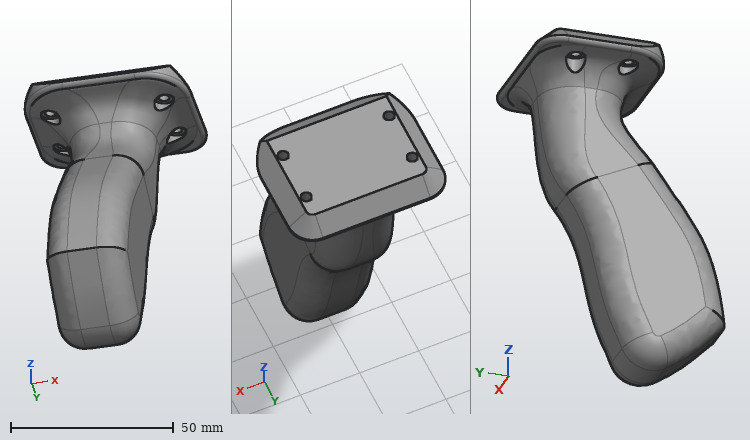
import cadquery as cq
import math

PLATE_X = 52.2
PLATE_Y = 43.0
BEVEL_INSET = 5.9
BEVEL_DROP = 5.1
RIM_HEIGHT = 1.7
BACK_CORNER = 8.0
FRONT_CORNER = 14.7
RIM_ROUND = 1.5
PLATE_BOTTOM = -(BEVEL_DROP + RIM_HEIGHT)

HOLE_SPACING_X = 35.8
HOLE_SPACING_Y = 17.1
HOLE_DIAMETER = 3.4
HEAD_DIAMETER = 6.0

GRIP_WIDTH = 25.1
GRIP_ROUND = 8.0
NECK_TOP = -15.4
NECK_TOP_WIDTH = 27.0
NECK_TOP_BACK = 15.7
NECK_TOP_FRONT = -11.3
NECK_ROUND = 11.5
JOINT_BACK = (7.1, -48.7)
JOINT_FRONT = (-20.8, -35.4)
HEEL = (-43.8, -87.0)

FRONT_CURVE = [(-31.3, -49.9), (-37.6, -60.6), (-41.4, -72.0)]
BACK_CURVE = [(-6.4, -88.0), (-2.2, -72.0), (2.2, -57.1)]
BOTTOM_CURVE = [(-34.4, -96.4)]

TOE_CENTRE = (-19.9, -95.1)
TOE_RADIUS = 9.6
TOE_FRONT_ANGLE = -122
TOE_BACK_ANGLE = -22

HEEL_DIRECTION = (0.7, -0.7)
JOINT_DIRECTION = (0.6, 0.8)


def rounded_section(back, front, width, corner):
    """Rounded rectangle across X, spanning the (Y, Z) points back to front."""
    dy = back[0] - front[0]
    dz = back[1] - front[1]
    middle = (0, (back[0] + front[0]) / 2, (back[1] + front[1]) / 2)
    plane = cq.Plane(origin=middle, xDir=(1, 0, 0), normal=(0, -dz, dy))
    sharp = cq.Face.makePlane(math.hypot(dy, dz), width)
    rounded = sharp.fillet2D(corner, sharp.Vertices())
    return rounded.outerWire().moved(plane.location)


def loft_sections(sections):
    wires = [rounded_section(*section) for section in sections]
    return cq.Workplane(cq.Solid.makeLoft(wires))


def make_plate():
    bevelled = (
        cq.Workplane().workplane(offset=PLATE_BOTTOM)
        .rect(PLATE_X, PLATE_Y).extrude(-PLATE_BOTTOM)
        .edges("|Z and >Y").fillet(BACK_CORNER)
        .faces(">Z").chamfer(BEVEL_DROP, BEVEL_INSET)
    )
    outline = (
        cq.Workplane().workplane(offset=PLATE_BOTTOM)
        .rect(PLATE_X, PLATE_Y).extrude(-PLATE_BOTTOM)
        .edges("|Z and <Y").fillet(FRONT_CORNER)
    )
    return bevelled.intersect(outline).faces("<Z").edges().fillet(RIM_ROUND)


def make_flare():
    levels = [
        (PLATE_BOTTOM, 48.8, 19.9, -19.9, 12.6),
        (-8.1, 38.8, 19.7, -17.3, 12.6),
        (-9.4, 34.6, 18.4, -14.1, 12.6),
        (-11.7, 30.6, 16.9, -12.3, 12.0),
        (NECK_TOP, NECK_TOP_WIDTH, NECK_TOP_BACK, NECK_TOP_FRONT, NECK_ROUND),
    ]
    return loft_sections([
        ((back, z), (front, z), width, corner)
        for z, width, back, front, corner in levels
    ])


def make_neck():
    return loft_sections([
        ((NECK_TOP_BACK, NECK_TOP), (NECK_TOP_FRONT, NECK_TOP), NECK_TOP_WIDTH, NECK_ROUND),
        ((14.6, -26.2), (-11.4, -21.5), 25.8, 11.0),
        ((12.6, -38.3), (-15.2, -28.0), GRIP_WIDTH, 9.4),
        (JOINT_BACK, JOINT_FRONT, GRIP_WIDTH, GRIP_ROUND),
    ])


def toe_point(degrees):
    angle = math.radians(degrees)
    return (
        TOE_CENTRE[0] + TOE_RADIUS * math.cos(angle),
        TOE_CENTRE[1] + TOE_RADIUS * math.sin(angle),
    )


def toe_direction(degrees):
    angle = math.radians(degrees)
    return (-math.sin(angle), math.cos(angle))


def make_grip():
    toe_front = toe_point(TOE_FRONT_ANGLE)
    toe_middle = toe_point((TOE_FRONT_ANGLE + TOE_BACK_ANGLE) / 2)
    toe_back = toe_point(TOE_BACK_ANGLE)
    blank = (
        cq.Workplane("YZ").workplane(offset=-GRIP_WIDTH / 2)
        .moveTo(*JOINT_FRONT)
        .spline(FRONT_CURVE + [HEEL], includeCurrent=True)
        .spline(
            BOTTOM_CURVE + [toe_front],
            tangents=[HEEL_DIRECTION, toe_direction(TOE_FRONT_ANGLE)],
            includeCurrent=True,
        )
        .threePointArc(toe_middle, toe_back)
        .spline(
            BACK_CURVE + [JOINT_BACK],
            tangents=[toe_direction(TOE_BACK_ANGLE), JOINT_DIRECTION],
            includeCurrent=True,
        )
        .close()
        .extrude(GRIP_WIDTH)
    )
    return blank.faces("<X or >X").edges("not %LINE").fillet(GRIP_ROUND)


def cut_screw_holes(body):
    centres = [
        (x, y)
        for x in (-HOLE_SPACING_X / 2, HOLE_SPACING_X / 2)
        for y in (-HOLE_SPACING_Y / 2, HOLE_SPACING_Y / 2)
    ]
    shanks = cq.Workplane().pushPoints(centres).circle(HOLE_DIAMETER / 2).extrude(NECK_TOP)
    heads = (
        cq.Workplane().workplane(offset=PLATE_BOTTOM)
        .pushPoints(centres).circle(HEAD_DIAMETER / 2).extrude(NECK_TOP - PLATE_BOTTOM)
    )
    return body.cut(shanks).cut(heads)


body = make_plate().union(make_flare()).union(make_neck()).union(make_grip())
result = cut_screw_holes(body)